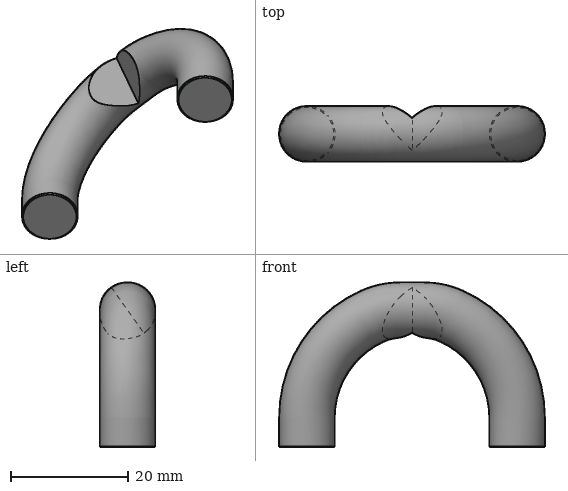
import cadquery as cq
import math

width = 45.45
height = 28.2
tube_diameter = 9.55
tube_radius = tube_diameter / 2

leg_length = 5.15
crown_half_length = 2.0
large_bend_radius = 18.95
end_chamfer = 0.23

groove_angle = 90.0
groove_tilt = 35.5
groove_depth = 7.25

leg_x = width / 2 - tube_radius
axis_top = height - tube_radius

large_center_x = leg_x - large_bend_radius
center_offset_x = crown_half_length - large_center_x
crown_rise = axis_top - leg_length
small_bend_radius = (large_bend_radius**2 - crown_rise**2 - center_offset_x**2) / (
    2 * (large_bend_radius - crown_rise)
)
small_center_z = axis_top - small_bend_radius
joint_angle = math.atan2(center_offset_x, small_center_z - leg_length)


def large_bend_point(angle):
    """Point on the right large bend, with the angle measured from vertical."""
    return (
        large_center_x + large_bend_radius * math.sin(angle),
        leg_length + large_bend_radius * math.cos(angle),
    )


def small_bend_point(angle):
    """Point on the right small bend, with the angle measured from vertical."""
    return (
        crown_half_length + small_bend_radius * math.sin(angle),
        small_center_z + small_bend_radius * math.cos(angle),
    )


def mirrored(point):
    return (-point[0], point[1])


def make_tube():
    joint = large_bend_point(joint_angle)
    large_middle = large_bend_point((joint_angle + math.pi / 2) / 2)
    small_middle = small_bend_point(joint_angle / 2)
    path = (
        cq.Workplane("XZ")
        .moveTo(-leg_x, 0)
        .lineTo(-leg_x, leg_length)
        .threePointArc(mirrored(large_middle), mirrored(joint))
        .threePointArc(mirrored(small_middle), (-crown_half_length, axis_top))
        .lineTo(crown_half_length, axis_top)
        .threePointArc(small_middle, joint)
        .threePointArc(large_middle, (leg_x, leg_length))
        .lineTo(leg_x, 0)
    )
    tube = cq.Workplane("XY").center(-leg_x, 0).circle(tube_radius).sweep(path)
    return tube.faces("<Z").edges().chamfer(end_chamfer)


def make_groove():
    half_opening = groove_depth * math.tan(math.radians(groove_angle / 2))
    return (
        cq.Workplane("XY")
        .polyline([(0, 0), (half_opening, groove_depth), (-half_opening, groove_depth)])
        .close()
        .extrude(tube_radius * 2, both=True)
        .rotate((0, 0, 0), (1, 0, 0), -groove_tilt)
        .translate((0, 0, axis_top))
    )


result = make_tube().cut(make_groove())